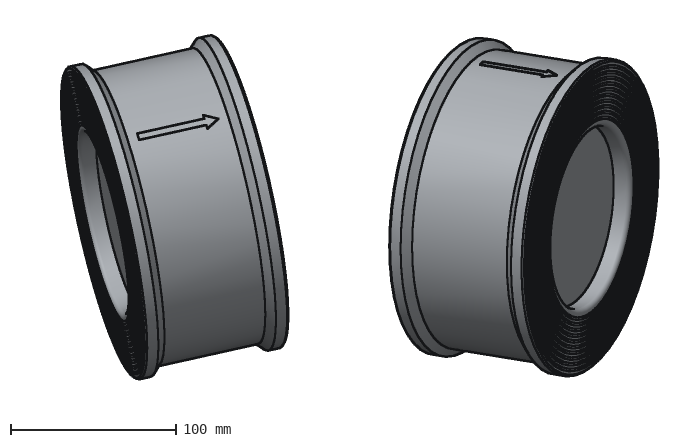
import cadquery as cq

outer_diameter = 194.0
length = 90.0
waist_radius = 91.8
rim_width = 8.1
rim_chamfer = 1.2

bore_radius = 56.0
mouth_fillet = 3.0
disc_depth = 11.3

groove_count = 10
first_groove_radius = 61.5
groove_pitch = 3.5
groove_width = 1.5
groove_depth = 0.4

arrow_offset = 7.0
arrow_tip = 25.5
arrow_shoulder = 17.3
arrow_tail = -24.8
shaft_width = 4.7
head_width = 9.9
arrow_depth = 0.4

outer_radius = outer_diameter / 2
half_length = length / 2
rim_inner_edge = half_length - rim_width
waist_edge = rim_inner_edge - (outer_radius - waist_radius)


def turned(profile):
    """Revolve an XY profile (X is the radius) about the Y axis."""
    return profile.revolve(360, (0, 0, 0), (0, 1, 0))


def make_body():
    """Spool-shaped solid with chamfered rims at both ends."""
    upper_outline = [
        (outer_radius - rim_chamfer, half_length),
        (outer_radius, half_length - rim_chamfer),
        (outer_radius, rim_inner_edge),
        (waist_radius, waist_edge),
    ]
    lower_outline = [(r, -y) for r, y in reversed(upper_outline)]
    outline = [(0, half_length)] + upper_outline + lower_outline + [(0, -half_length)]
    return turned(cq.Workplane("XY").polyline(outline).close())


def make_recess():
    """Material removed in front of the disc, with a rounded mouth, at the -Y end."""
    face = -half_length
    profile = (
        cq.Workplane("XY")
        .moveTo(0, face)
        .lineTo(bore_radius + mouth_fillet, face)
        .radiusArc((bore_radius, face + mouth_fillet), mouth_fillet)
        .lineTo(bore_radius, face + disc_depth)
        .lineTo(0, face + disc_depth)
        .close()
    )
    return turned(profile)


def make_groove(radius):
    """Round-bottomed ring groove in the -Y face."""
    face = -half_length
    half_width = groove_width / 2
    profile = (
        cq.Workplane("XY")
        .moveTo(radius - half_width, face)
        .threePointArc((radius, face + groove_depth), (radius + half_width, face))
        .close()
    )
    return turned(profile)


def make_arrow():
    """Flow arrow cut to an even depth below the curved waist."""
    outline = [
        (shaft_width / 2, arrow_tail),
        (shaft_width / 2, arrow_shoulder),
        (head_width / 2, arrow_shoulder),
        (0, arrow_tip),
        (-head_width / 2, arrow_shoulder),
        (-shaft_width / 2, arrow_shoulder),
        (-shaft_width / 2, arrow_tail),
    ]
    prism = (
        cq.Workplane("XY")
        .polyline([(x + arrow_offset, y) for x, y in outline])
        .close()
        .extrude(outer_radius)
    )
    sleeve = (
        cq.Workplane("XZ")
        .circle(outer_radius)
        .circle(waist_radius - arrow_depth)
        .extrude(half_length, both=True)
    )
    return prism.intersect(sleeve)


end_cutters = [make_recess()]
for index in range(groove_count):
    end_cutters.append(make_groove(first_groove_radius + index * groove_pitch))

result = make_body()
for cutter in end_cutters:
    result = result.cut(cutter)
    result = result.cut(cutter.mirror("XZ"))
result = result.cut(make_arrow())